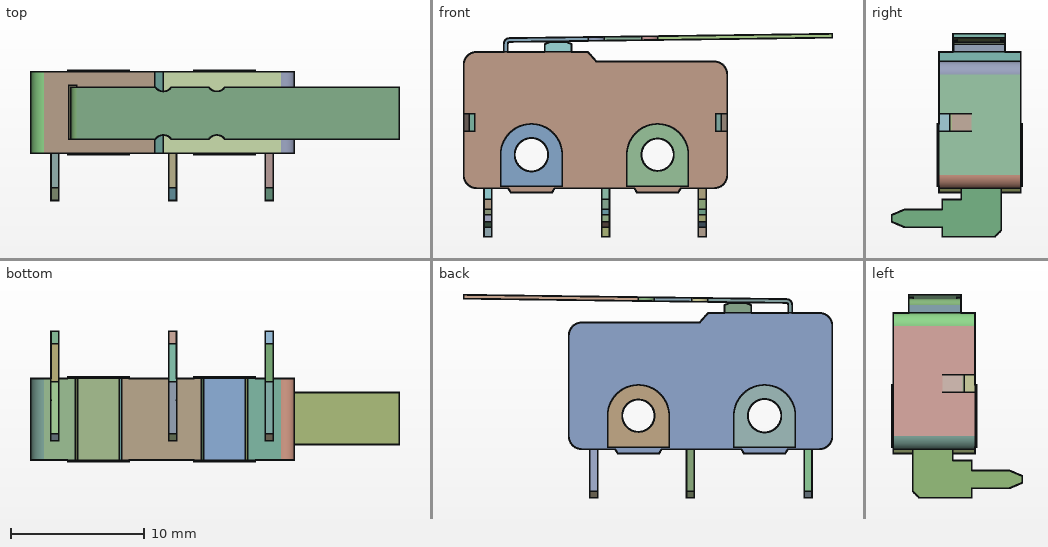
import cadquery as cq
import math


body_length = 19.8
body_depth = 6.15
body_height = 10.25
low_top = 9.53
step_start = 9.35
step_end = 9.98
corner_radius = 1.0

hole_diameters = {5.1: 2.5, 14.58: 2.4}
hole_height = 2.52
pad_width = 4.63
pad_thickness = 0.1
pad_bottom = 0.17
rib_height = 0.33
rib_top_width = 3.5
rib_bottom_width = 3.1

slot_bottom = 4.27
slot_height = 1.33
slot_depth = 0.85
slot_floor_y = 0.83
catch_depth = 0.45
catch_flat_y = 1.0
ramp_end_y = 2.45

lever_thickness = 0.3
lever_front = 1.05
lever_width = 3.93
lever_left = 3.02
lever_tip = 27.7
lever_tip_top = 11.6
lever_slope = math.radians(0.76)
bend_radius = 0.45
notch_positions = (9.98, 14.0)
notch_radius = 0.72
notch_depth = 0.33

pocket_left = 2.85
pocket_width = 0.6
pocket_front = lever_front
pocket_back = 5.13
pocket_depth = 0.28

button_left = 6.1
button_right = 8.12
button_front = 1.1
button_top = 10.97
button_bevel_width = 0.33
button_bevel_height = 0.15

terminal_positions = (1.83, 10.67, 17.93)
terminal_thickness = 0.6
terminal_back = 4.68
terminal_neck_front = 1.65
terminal_front = 0.25
terminal_shoulder = -0.83
terminal_bottom = -3.65
terminal_chamfer = 0.5
pin_top = -1.58
pin_bottom = -2.95
pin_taper_start = -2.58
pin_tip = -3.55
pin_tip_taper = 0.42
embed = 0.28


def extrude_y(sketch, front, back):
    """Extrude an outline drawn in the XZ plane from y = front to y = back."""
    return sketch.extrude(-(back - front)).translate((0, front, 0))


def make_housing():
    """Block with a lowered right-hand top and rounded end corners."""
    outline = (
        cq.Workplane("XZ")
        .polyline([
            (0, 0),
            (body_length, 0),
            (body_length, low_top),
            (step_end, low_top),
            (step_start, body_height),
            (0, body_height),
        ])
        .close()
    )
    housing = extrude_y(outline, 0, body_depth)
    return housing.edges("|Y and (<X or >X)").fillet(corner_radius)


def make_pad(x):
    """Arched pad that stands out of the front and back faces."""
    half_width = pad_width / 2
    outline = (
        cq.Workplane("XZ")
        .moveTo(x - half_width, pad_bottom)
        .lineTo(x + half_width, pad_bottom)
        .lineTo(x + half_width, hole_height)
        .threePointArc((x, hole_height + half_width), (x - half_width, hole_height))
        .close()
    )
    return extrude_y(outline, -pad_thickness, body_depth + pad_thickness)


def make_rib(x):
    """Tapered standing rib across the underside."""
    outline = (
        cq.Workplane("XZ")
        .polyline([
            (x - rib_top_width / 2, 0),
            (x - rib_bottom_width / 2, -rib_height),
            (x + rib_bottom_width / 2, -rib_height),
            (x + rib_top_width / 2, 0),
            (x + rib_top_width / 2, embed),
            (x - rib_top_width / 2, embed),
        ])
        .close()
    )
    return extrude_y(outline, 0, body_depth)


def make_hole(x, diameter):
    """Cutter for a hole through both pads."""
    outline = cq.Workplane("XZ").center(x, hole_height).circle(diameter / 2)
    return extrude_y(outline, -pad_thickness, body_depth + pad_thickness)


def make_snap_slot():
    """Cutter for the slot in the left end: a deep front part and a ramped catch behind it."""
    return (
        cq.Workplane("XY")
        .workplane(offset=slot_bottom)
        .polyline([
            (0, 0),
            (slot_depth, 0),
            (slot_depth, slot_floor_y),
            (catch_depth, slot_floor_y),
            (catch_depth, catch_flat_y),
            (0, ramp_end_y),
        ])
        .close()
        .extrude(slot_height)
    )


def make_foot_pocket():
    """Cutter for the shallow pocket in the upper top face."""
    pocket = cq.Workplane("XY").box(
        pocket_width, pocket_back - pocket_front, pocket_depth, centered=False
    )
    return pocket.translate((pocket_left, pocket_front, body_height - pocket_depth))


def make_lever():
    """Bent strip: an upright foot and a long, slightly rising arm with edge notches."""
    rise = math.tan(lever_slope)
    corner_top = lever_tip_top - rise * (lever_tip - lever_left)
    foot_bottom = body_height - pocket_depth - embed
    outline = (
        cq.Workplane("XZ")
        .polyline([
            (lever_left, foot_bottom),
            (lever_left, corner_top),
            (lever_tip, lever_tip_top),
            (lever_tip, lever_tip_top - lever_thickness),
            (lever_left + lever_thickness, corner_top - lever_thickness + rise * lever_thickness),
            (lever_left + lever_thickness, foot_bottom),
        ])
        .close()
    )
    lever = extrude_y(outline, lever_front, lever_front + lever_width)
    outer_corner = cq.selectors.NearestToPointSelector(
        (lever_left, lever_front + lever_width / 2, corner_top)
    )
    inner_corner = cq.selectors.NearestToPointSelector(
        (lever_left + lever_thickness, lever_front + lever_width / 2, corner_top - lever_thickness)
    )
    lever = lever.edges(inner_corner).fillet(bend_radius - lever_thickness)
    lever = lever.edges(outer_corner).fillet(bend_radius)
    centre_offset = notch_radius - notch_depth
    edge_centres = (lever_front - centre_offset, lever_front + lever_width + centre_offset)
    notches = (
        cq.Workplane("XY")
        .workplane(offset=body_height)
        .pushPoints([(x, y) for x in notch_positions for y in edge_centres])
        .circle(notch_radius)
        .extrude(lever_tip_top - body_height)
    )
    return lever.cut(notches)


def make_button():
    """Button with bevelled ends, centred across the width of the lever and just clear of it."""
    button_back = 2 * lever_front + lever_width - button_front
    outline = (
        cq.Workplane("XZ")
        .polyline([
            (button_left, body_height - embed),
            (button_right, body_height - embed),
            (button_right, button_top - button_bevel_height),
            (button_right - button_bevel_width, button_top),
            (button_left + button_bevel_width, button_top),
            (button_left, button_top - button_bevel_height),
        ])
        .close()
    )
    return extrude_y(outline, button_front, button_back)


def make_terminal(x):
    """Flat terminal that drops from the housing and turns forward into a tapered pin."""
    outline = cq.Workplane("YZ").polyline([
        (terminal_back, embed),
        (terminal_back, terminal_bottom + terminal_chamfer),
        (terminal_back - terminal_chamfer, terminal_bottom),
        (terminal_front, terminal_bottom),
        (terminal_front, pin_bottom),
        (pin_taper_start, pin_bottom),
        (pin_tip, pin_bottom + pin_tip_taper),
        (pin_tip, pin_top - pin_tip_taper),
        (pin_taper_start, pin_top),
        (terminal_front, pin_top),
        (terminal_front, terminal_shoulder),
        (terminal_neck_front, terminal_shoulder),
        (terminal_neck_front, embed),
    ]).close()
    return outline.extrude(terminal_thickness).translate((x - terminal_thickness / 2, 0, 0))


body = make_housing()
for hole_x, hole_diameter in hole_diameters.items():
    body = body.union(make_pad(hole_x)).union(make_rib(hole_x)).cut(make_hole(hole_x, hole_diameter))

left_slot = make_snap_slot()
right_slot = left_slot.mirror("YZ").translate((body_length, 0, 0))
body = body.cut(left_slot).cut(right_slot).cut(make_foot_pocket())

body = body.union(make_lever()).union(make_button())
for terminal_x in terminal_positions:
    body = body.union(make_terminal(terminal_x))

result = body